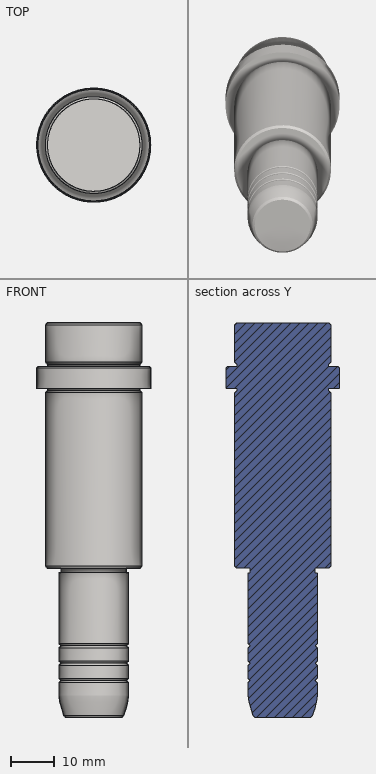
import cadquery as cq

flange_diameter = 26.0
body_diameter = 22.05
stem_diameter = 15.9
tip_diameter = 13.7

total_height = 90.0
cap_height = 9.0
flange_top = total_height - 10.0
flange_bottom = total_height - 15.0
body_top = total_height - 15.5
body_bottom = total_height - 56.0
stem_top = total_height - 57.0
nose_height = 5.0

edge_break = 0.495
flange_break = 0.3
relief_depth = 0.495
nose_bulge = 0.2

groove_width = 1.0
groove_depth = 0.495
groove_pitch = 4.0
groove_count = 3
lowest_groove_center = 8.5


def cylinder(diameter, bottom, top):
    return cq.Workplane("XY").workplane(offset=bottom).circle(diameter / 2).extrude(top - bottom)


def make_stem():
    """Stem with a slightly convex, tapered nose and a chamfered tip."""
    stem_radius = stem_diameter / 2
    nose_end_radius = tip_diameter / 2
    nose_middle = (
        (stem_radius + nose_end_radius) / 2 + nose_bulge,
        (nose_height + edge_break) / 2,
    )
    return (
        cq.Workplane("XZ")
        .moveTo(0, 0)
        .lineTo(nose_end_radius - edge_break, 0)
        .lineTo(nose_end_radius, edge_break)
        .threePointArc(nose_middle, (stem_radius, nose_height))
        .lineTo(stem_radius, stem_top)
        .lineTo(0, stem_top)
        .close()
        .revolve(360, (0, 0, 0), (0, 1, 0))
    )


def make_groove(center_height):
    """Ring with a V section that cuts one groove around the stem."""
    outer_radius = stem_diameter / 2
    half_width = groove_width / 2
    return (
        cq.Workplane("XZ")
        .moveTo(outer_radius, center_height - half_width)
        .lineTo(outer_radius - groove_depth, center_height)
        .lineTo(outer_radius, center_height + half_width)
        .close()
        .revolve(360, (0, 0, 0), (0, 1, 0))
    )


stem = make_stem()
for index in range(groove_count):
    stem = stem.cut(make_groove(lowest_groove_center + index * groove_pitch))

stem_relief = cylinder(stem_diameter - 2 * relief_depth, stem_top, body_bottom)

body = cylinder(body_diameter, body_bottom, body_top).faces("<Z or >Z").chamfer(edge_break)

neck = cylinder(body_diameter - 2 * relief_depth, body_top, total_height - cap_height)

flange = cylinder(flange_diameter, flange_bottom, flange_top).faces(">Z").chamfer(flange_break)

cap_bottom = flange_top + relief_depth
cap = cylinder(body_diameter, cap_bottom, total_height).faces("<Z or >Z").chamfer(edge_break)

result = stem.union(stem_relief).union(body).union(neck).union(flange).union(cap)